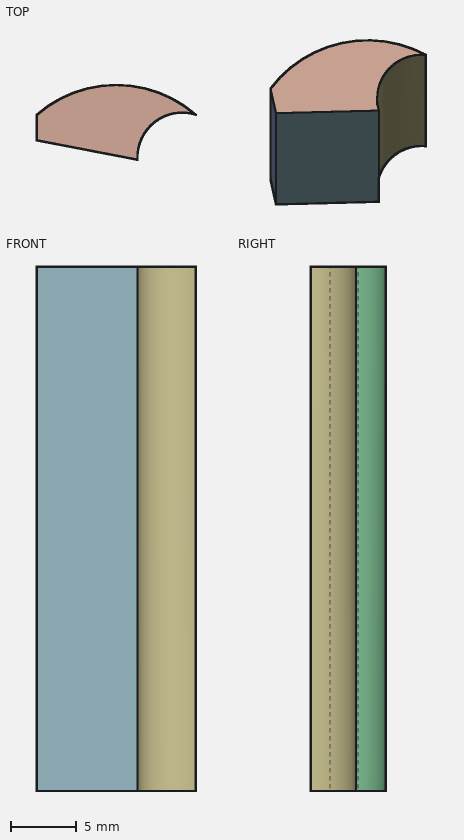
import cadquery as cq
import math

width = 12.14
depth = 5.72
length = 40.0

crown_radius = 9.2
base_slope = 10.9
base_width = 7.7
cove_radius = 3.4


def arc_rise(chord, radius):
    """Height of a circular arc of the given radius above its chord."""
    return radius - math.sqrt(radius**2 - (chord / 2) ** 2)


def arc_midpoint(start, end, radius):
    """Middle of the short arc from start to end, bulging to the left of travel."""
    dx = end[0] - start[0]
    dy = end[1] - start[1]
    chord = math.hypot(dx, dy)
    rise = arc_rise(chord, radius)
    mid_x = (start[0] + end[0]) / 2 - rise * dy / chord
    mid_y = (start[1] + end[1]) / 2 + rise * dx / chord
    return mid_x, mid_y


left_x = -width / 2
right_x = width / 2
top_y = depth / 2
bottom_y = -depth / 2
crown_end_y = top_y - arc_rise(width, crown_radius)
base_rise = base_width * math.tan(math.radians(base_slope))

base_left = (left_x, bottom_y + base_rise)
left_shoulder = (left_x, crown_end_y)
crown_summit = (0, top_y)
tip = (right_x, crown_end_y)
base_corner = (left_x + base_width, bottom_y)
cove_middle = arc_midpoint(base_corner, tip, cove_radius)

section = (
    cq.Workplane("XY")
    .moveTo(*base_left)
    .lineTo(*left_shoulder)
    .threePointArc(crown_summit, tip)
    .threePointArc(cove_middle, base_corner)
    .close()
)

result = section.extrude(length)